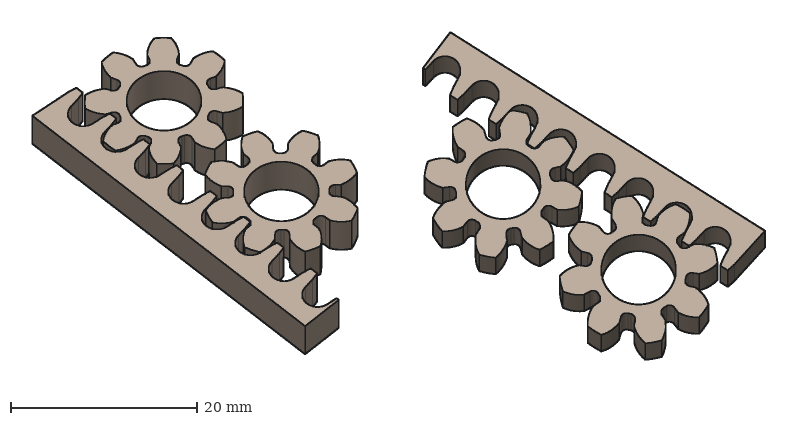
import cadquery as cq
import math

thickness = 5.0

rack_length = 40.9
gap_count = 8
first_gap_x = 3.75
last_gap_x = 38.75
tooth_pitch = (last_gap_x - first_gap_x) / (gap_count - 1)
crest_y = 6.0
shoulder_y = 5.05
flank_foot_y = 3.8
gap_bottom_y = 2.35
crest_half_width = 0.5
shoulder_half_width = 0.7
foot_half_width = 0.85
end_wall_lean = 0.12

gear_tooth_count = 8
tooth_angle = 360 / gear_tooth_count
bore_diameter = 8.0
overall_height = 19.8
tip_radius = 8.5
tip_half_width = 0.9
flank_mid_radius = 7.5
flank_mid_half_width = 1.5
flank_foot_radius = 6.5
flank_foot_half_width = 1.7
root_radius = 5.15
root_fillet_radius = 0.6
root_fillet_offset = 0.15

gear_y = overall_height - tip_radius
left_gear_x = 8.75
gear_spacing = 17.55
right_gear_x = left_gear_x + gear_spacing


def make_rack():
    half_pitch = tooth_pitch / 2
    first_tooth_x = first_gap_x - half_pitch

    outline = (
        cq.Workplane("XY")
        .moveTo(0, 0)
        .lineTo(first_tooth_x - shoulder_half_width, shoulder_y)
        .lineTo(first_tooth_x - crest_half_width, crest_y)
    )
    for i in range(gap_count):
        gap_x = first_gap_x + i * tooth_pitch
        left_tooth_x = gap_x - half_pitch
        right_tooth_x = gap_x + half_pitch
        outline = (
            outline
            .lineTo(left_tooth_x + crest_half_width, crest_y)
            .lineTo(left_tooth_x + shoulder_half_width, shoulder_y)
            .lineTo(left_tooth_x + foot_half_width, flank_foot_y)
            .threePointArc((gap_x, gap_bottom_y), (right_tooth_x - foot_half_width, flank_foot_y))
            .lineTo(right_tooth_x - shoulder_half_width, shoulder_y)
        )
        if i < gap_count - 1:
            outline = outline.lineTo(right_tooth_x - crest_half_width, crest_y)

    return (
        outline
        .lineTo(rack_length, shoulder_y)
        .lineTo(rack_length - end_wall_lean, 0)
        .close()
        .extrude(thickness)
    )


def point_about_axis(axis_angle, along, across):
    """Point at a distance along a radial axis and across it (counter-clockwise positive)."""
    a = math.radians(axis_angle)
    return (
        along * math.cos(a) - across * math.sin(a),
        along * math.sin(a) + across * math.cos(a),
    )


def flank_point(tooth_axis, radius, half_width, side):
    """Point on a tooth flank; side is -1 for the clockwise flank and +1 for the other."""
    along = math.sqrt(radius**2 - half_width**2)
    return point_about_axis(tooth_axis, along, side * half_width)


def gap_point(gap_axis, along, across, side):
    """Point in a tooth gap; side is -1 clockwise of the gap centre line and +1 beyond it."""
    return point_about_axis(gap_axis, along, side * across)


def make_gear(center_x, first_tooth_angle):
    fillet_along = root_radius + root_fillet_radius
    fillet_diagonal = root_fillet_radius * math.sqrt(0.5)
    fillet_mid = (fillet_along - fillet_diagonal, root_fillet_offset + fillet_diagonal)
    gap_half_width = root_fillet_offset + root_fillet_radius

    outline = cq.Workplane("XY").moveTo(
        *flank_point(first_tooth_angle, tip_radius, tip_half_width, -1)
    )
    for i in range(gear_tooth_count):
        tooth_axis = first_tooth_angle + i * tooth_angle
        gap_axis = tooth_axis + tooth_angle / 2
        next_tooth = tooth_axis + tooth_angle
        outline = (
            outline
            .threePointArc(
                point_about_axis(tooth_axis, tip_radius, 0),
                flank_point(tooth_axis, tip_radius, tip_half_width, 1),
            )
            .threePointArc(
                flank_point(tooth_axis, flank_mid_radius, flank_mid_half_width, 1),
                flank_point(tooth_axis, flank_foot_radius, flank_foot_half_width, 1),
            )
            .lineTo(*gap_point(gap_axis, fillet_along, gap_half_width, -1))
            .threePointArc(
                gap_point(gap_axis, *fillet_mid, -1),
                gap_point(gap_axis, root_radius, root_fillet_offset, -1),
            )
            .lineTo(*gap_point(gap_axis, root_radius, root_fillet_offset, 1))
            .threePointArc(
                gap_point(gap_axis, *fillet_mid, 1),
                gap_point(gap_axis, fillet_along, gap_half_width, 1),
            )
            .lineTo(*flank_point(next_tooth, flank_foot_radius, flank_foot_half_width, -1))
            .threePointArc(
                flank_point(next_tooth, flank_mid_radius, flank_mid_half_width, -1),
                flank_point(next_tooth, tip_radius, tip_half_width, -1),
            )
        )
    gear = outline.close().extrude(thickness)
    bore = cq.Workplane("XY").circle(bore_diameter / 2).extrude(thickness)
    return gear.cut(bore).translate((center_x, gear_y, 0))


rack = make_rack()
gear_placements = [
    (left_gear_x, 0),
    (right_gear_x, tooth_angle / 2),
]
gears = [make_gear(x, angle) for x, angle in gear_placements]

result = cq.Compound.makeCompound([rack.val(), *[gear.val() for gear in gears]])